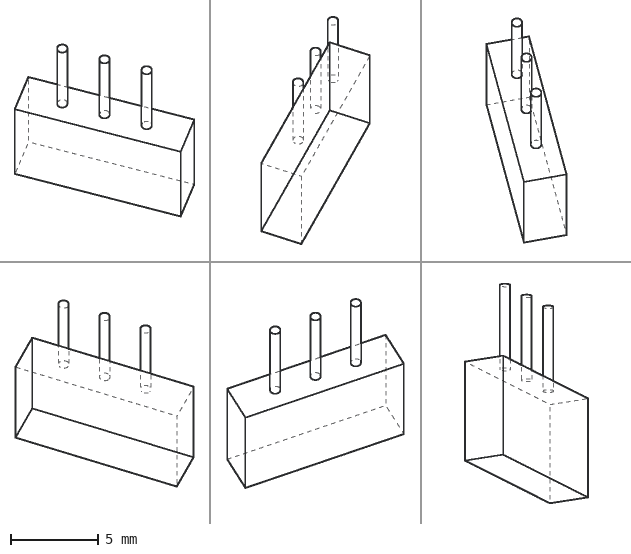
import cadquery as cq

body_width = 10.0
body_depth = 2.5
total_height = 10.9
pin_length = 5.0
body_height = total_height - pin_length

pin_diameter = 0.6
pin_pitch = 2.54
pin_count = 3


def make_body():
    """Plain block centred in X and Y, resting on Z = 0."""
    return cq.Workplane("XY").box(body_width, body_depth, body_height, centered=(True, True, False))


def add_pins(body):
    """Add the evenly spaced pins along the centre line of the top face."""
    return (
        body.faces(">Z")
        .workplane()
        .rarray(pin_pitch, 0.11, pin_count, 1)
        .circle(pin_diameter / 2)
        .extrude(pin_length)
    )


result = add_pins(make_body())